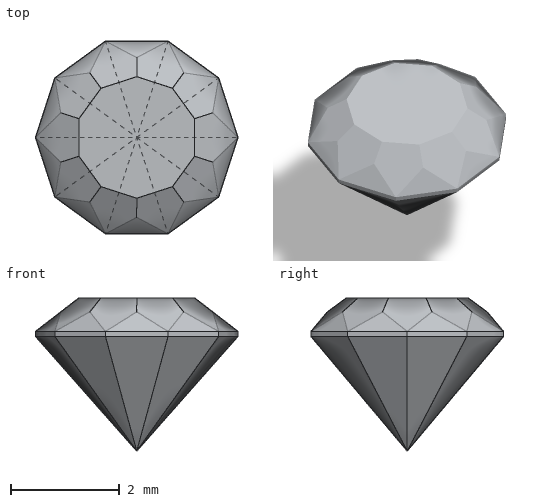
import cadquery as cq
import math

SIDES = 10
GIRDLE_RADIUS = 1.865
TABLE_RADIUS = 1.12
FACET_TIP_RADIUS = 1.47
TOTAL_HEIGHT = 2.82
CROWN_HEIGHT = 0.62
GIRDLE_THICKNESS = 0.09

table_z = TOTAL_HEIGHT
girdle_top_z = table_z - CROWN_HEIGHT
girdle_bottom_z = girdle_top_z - GIRDLE_THICKNESS

half_step = math.pi / SIDES
table_apothem = TABLE_RADIUS * math.cos(half_step)
tip_apothem = FACET_TIP_RADIUS * math.cos(half_step)
tip_rise = CROWN_HEIGHT * (GIRDLE_RADIUS - tip_apothem) / (GIRDLE_RADIUS - table_apothem)
tip_z = girdle_top_z + tip_rise


def ring(radius, z, start_angle):
    """Corners of a regular polygon, counterclockwise from start_angle."""
    angles = [start_angle + 2 * half_step * i for i in range(SIDES)]
    return [cq.Vector(radius * math.cos(a), radius * math.sin(a), z) for a in angles]


def facet(*corners):
    """Flat face through the given corners."""
    return cq.Face.makeFromWires(cq.Wire.makePolygon(corners, close=True))


culet = cq.Vector(0, 0, 0)
girdle_bottom = ring(GIRDLE_RADIUS, girdle_bottom_z, 0)
girdle_top = ring(GIRDLE_RADIUS, girdle_top_z, 0)
tips = ring(FACET_TIP_RADIUS, tip_z, half_step)
table = ring(TABLE_RADIUS, table_z, half_step)

facets = [facet(*table)]
for i in range(SIDES):
    following = (i + 1) % SIDES
    previous = i - 1
    facets.append(facet(culet, girdle_bottom[following], girdle_bottom[i]))
    facets.append(facet(girdle_bottom[i], girdle_bottom[following], girdle_top[following], girdle_top[i]))
    facets.append(facet(girdle_top[i], girdle_top[following], tips[i]))
    facets.append(facet(girdle_top[i], tips[i], table[i], table[previous], tips[previous]))

result = cq.Workplane("XY").newObject([cq.Solid.makeSolid(cq.Shell.makeShell(facets))])